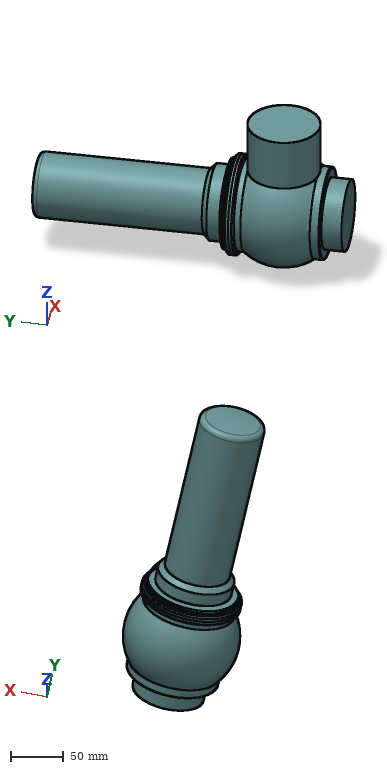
import cadquery as cq
import math

SPHERE_RADIUS = 56.3
STUB_RADIUS = 35.0
FRONT_STUB_END = -62.7
BRANCH_TOP = 95.3

COLLAR_RADIUS = 45.0
FRONT_COLLAR_FACE = -43.2
FRONT_COLLAR_CHAMFER = 1.0
FLANGE_RADIUS = 49.0
FLANGE_CHAMFER = 1.8
FLANGE_THICKNESS = 5.0
JOINT_Y = 45.0

COVER_FACE = 54.2
COVER_BEVEL_LENGTH = 2.0
COVER_BEVEL_DEPTH = 1.0
NECK_RADIUS = 33.8
SHOULDER_START = 55.7
SHOULDER_END = 74.0
SHOULDER_RADIUS = 37.5
TUBE_RADIUS = 32.0
SHOULDER_CHAMFER = SHOULDER_RADIUS - TUBE_RADIUS
OVERALL_LENGTH = 304.5
GRIP_END = FRONT_STUB_END + OVERALL_LENGTH
DOME_HEIGHT = 1.5
TUBE_EDGE_RADIUS = 5.2


def revolve_about_y(profile):
    """Turn a closed half profile of (radius, y) points about the Y axis."""
    return profile.close().revolve(360, (0, 0, 0), (0, 1, 0))


def make_housing():
    """Ball housing with a front stub, a branch on top and a rear flange."""
    flange_front = JOINT_Y - FLANGE_THICKNESS
    ball_half_length = math.sqrt(SPHERE_RADIUS**2 - COLLAR_RADIUS**2)
    turned = revolve_about_y(
        cq.Workplane("XY")
        .polyline([
            (0, FRONT_STUB_END),
            (STUB_RADIUS, FRONT_STUB_END),
            (STUB_RADIUS, FRONT_COLLAR_FACE),
            (COLLAR_RADIUS - FRONT_COLLAR_CHAMFER, FRONT_COLLAR_FACE),
            (COLLAR_RADIUS, FRONT_COLLAR_FACE + FRONT_COLLAR_CHAMFER),
            (COLLAR_RADIUS, -ball_half_length),
        ])
        .threePointArc((SPHERE_RADIUS, 0), (COLLAR_RADIUS, ball_half_length))
        .lineTo(COLLAR_RADIUS, flange_front)
        .lineTo(FLANGE_RADIUS - FLANGE_CHAMFER, flange_front)
        .lineTo(FLANGE_RADIUS, flange_front + FLANGE_CHAMFER)
        .lineTo(FLANGE_RADIUS, JOINT_Y)
        .lineTo(0, JOINT_Y)
    )
    branch = cq.Workplane("XY").circle(STUB_RADIUS).extrude(BRANCH_TOP)
    return turned.union(branch)


def make_grip():
    """Mating flange and cover, neck, chamfered shoulder and dome-ended tube."""
    flange_back = JOINT_Y + FLANGE_THICKNESS
    dome_rim_radius = TUBE_RADIUS - TUBE_EDGE_RADIUS
    dome_rim = GRIP_END - DOME_HEIGHT
    edge_start = dome_rim - TUBE_EDGE_RADIUS
    edge_offset = TUBE_EDGE_RADIUS * math.sqrt(0.5)
    edge_middle = (dome_rim_radius + edge_offset, edge_start + edge_offset)
    dome_radius = (dome_rim_radius**2 + DOME_HEIGHT**2) / (2 * DOME_HEIGHT)
    dome_middle_radius = dome_rim_radius / 2
    dome_drop = dome_radius - math.sqrt(dome_radius**2 - dome_middle_radius**2)
    dome_middle = (dome_middle_radius, GRIP_END - dome_drop)
    return revolve_about_y(
        cq.Workplane("XY")
        .polyline([
            (0, JOINT_Y),
            (FLANGE_RADIUS, JOINT_Y),
            (FLANGE_RADIUS, flange_back - FLANGE_CHAMFER),
            (FLANGE_RADIUS - FLANGE_CHAMFER, flange_back),
            (COLLAR_RADIUS, flange_back),
            (COLLAR_RADIUS, COVER_FACE - COVER_BEVEL_LENGTH),
            (COLLAR_RADIUS - COVER_BEVEL_DEPTH, COVER_FACE),
            (NECK_RADIUS, COVER_FACE),
            (NECK_RADIUS, SHOULDER_START),
            (SHOULDER_RADIUS, SHOULDER_START),
            (SHOULDER_RADIUS, SHOULDER_END - SHOULDER_CHAMFER),
            (TUBE_RADIUS, SHOULDER_END),
            (TUBE_RADIUS, edge_start),
        ])
        .threePointArc(edge_middle, (dome_rim_radius, dome_rim))
        .threePointArc(dome_middle, (0, GRIP_END))
    )


housing = make_housing()
grip = make_grip()

result = cq.Compound.makeCompound([housing.val(), grip.val()])